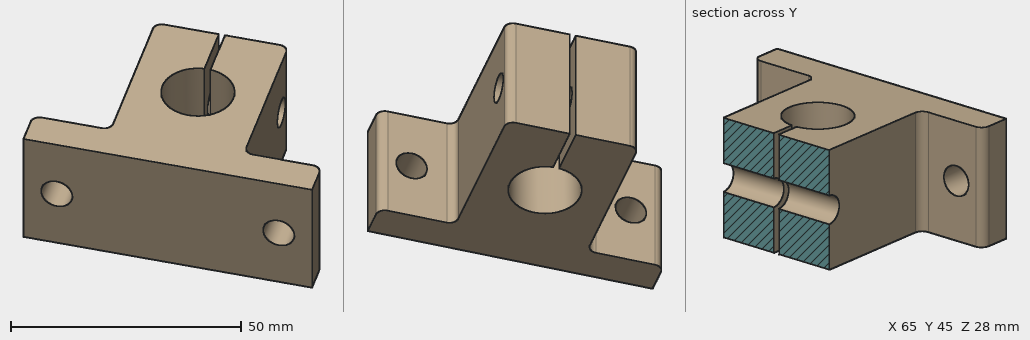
import cadquery as cq

base_length = 65.0
base_thickness = 8.0
total_depth = 45.0
height = 28.0
block_width = 30.0
corner_radius = 2.0

bore_diameter = 16.0
bore_y = 25.0
slot_width = 1.35

mount_hole_diameter = 7.0
mount_hole_spacing = 50.0
clamp_hole_diameter = 6.6
clamp_hole_y = 39.0

half_height = height / 2


def make_body():
    """T-shaped body: base flange along X with the clamp block rising along +Y."""
    flange = cq.Workplane("XY").box(base_length, base_thickness, height, centered=(True, False, False))
    block = cq.Workplane("XY").box(block_width, total_depth, height, centered=(True, False, False))
    body = flange.union(block)
    return body.edges("|Z").edges("not <Y").fillet(corner_radius)


def make_bore():
    """Shaft bore through the full height."""
    return cq.Workplane("XY").center(0, bore_y).circle(bore_diameter / 2).extrude(height)


def make_slot():
    """Clamping slot from the bore centre out through the block's free end."""
    slot_length = total_depth - bore_y
    return (
        cq.Workplane("XY")
        .center(0, bore_y)
        .box(slot_width, slot_length, height, centered=(True, False, False))
    )


def make_mount_holes():
    """Two holes through the flange, parallel to Y."""
    half_spacing = mount_hole_spacing / 2
    return (
        cq.Workplane("XZ")
        .pushPoints([(-half_spacing, half_height), (half_spacing, half_height)])
        .circle(mount_hole_diameter / 2)
        .extrude(-base_thickness)
    )


def make_clamp_hole():
    """Clamp screw hole across the block, parallel to X."""
    return (
        cq.Workplane("YZ")
        .center(clamp_hole_y, half_height)
        .circle(clamp_hole_diameter / 2)
        .extrude(block_width / 2, both=True)
    )


result = make_body()
for cutter in (make_bore(), make_slot(), make_mount_holes(), make_clamp_hole()):
    result = result.cut(cutter)